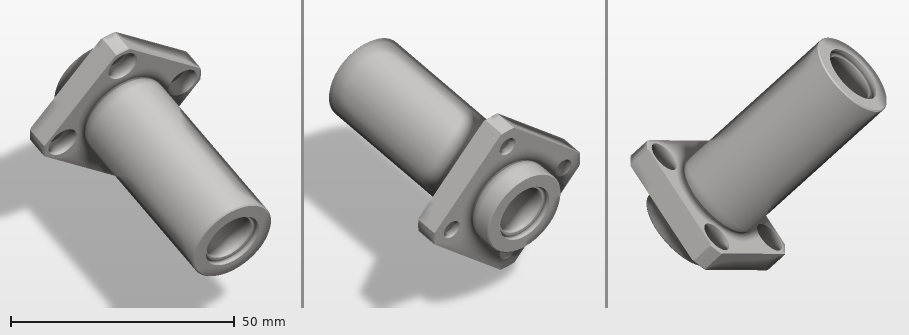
import cadquery as cq

body_length = 57.0
body_diameter = 21.0
end_chamfer = 0.3

bore_diameter = 12.0
recess_diameter = 14.1
recess_depth = 1.35

flange_start = 6.1
flange_thickness = 6.0
flange_side = 32.0
flange_diameter = 41.95
corner_chamfer = 0.2
flange_end = flange_start + flange_thickness

relief_width = 0.7
relief_depth = 0.15
relief_bevel = 0.35

hole_count = 4
hole_circle_diameter = 32.0
hole_diameter = 4.5
counterbore_diameter = 7.5
counterbore_depth = 4.1


def cylinder_x(start, length, diameter):
    """Solid cylinder along X beginning at the given X position."""
    return cq.Workplane("YZ", origin=(start, 0, 0)).circle(diameter / 2).extrude(length)


def make_sleeve():
    """Turned sleeve with chamfered ends and reliefs beside the flange."""
    outer = body_diameter / 2
    end_radius = outer - end_chamfer
    relief_radius = outer - relief_depth
    front_relief = flange_start - relief_width
    back_relief = flange_end + relief_width
    profile = [
        (0, 0),
        (0, end_radius),
        (end_chamfer, outer),
        (front_relief, outer),
        (front_relief + relief_bevel, relief_radius),
        (back_relief - relief_bevel, relief_radius),
        (back_relief, outer),
        (body_length - end_chamfer, outer),
        (body_length, end_radius),
        (body_length, 0),
    ]
    return cq.Workplane("XY").polyline(profile).close().revolve(360, (0, 0, 0), (1, 0, 0))


def make_flange():
    """Square plate trimmed by a chamfered disc."""
    square = (
        cq.Workplane("YZ", origin=(flange_start, 0, 0))
        .transformed(rotate=(0, 0, 45))
        .rect(flange_side, flange_side)
        .extrude(flange_thickness)
    )
    disc = cylinder_x(flange_start, flange_thickness, flange_diameter).edges().chamfer(corner_chamfer)
    return square.intersect(disc)


def make_mounting_holes():
    """Cutters for through holes counterbored from the back of the flange."""
    through = (
        cq.Workplane("YZ", origin=(flange_start, 0, 0))
        .polarArray(hole_circle_diameter / 2, 0, 360, hole_count)
        .circle(hole_diameter / 2)
        .extrude(flange_thickness)
    )
    counterbores = (
        cq.Workplane("YZ", origin=(flange_end - counterbore_depth, 0, 0))
        .polarArray(hole_circle_diameter / 2, 0, 360, hole_count)
        .circle(counterbore_diameter / 2)
        .extrude(counterbore_depth)
    )
    return through.union(counterbores)


result = make_flange().cut(make_mounting_holes()).union(make_sleeve())

result = result.cut(cylinder_x(0, body_length, bore_diameter))
for recess_start in (0, body_length - recess_depth):
    result = result.cut(cylinder_x(recess_start, recess_depth, recess_diameter))